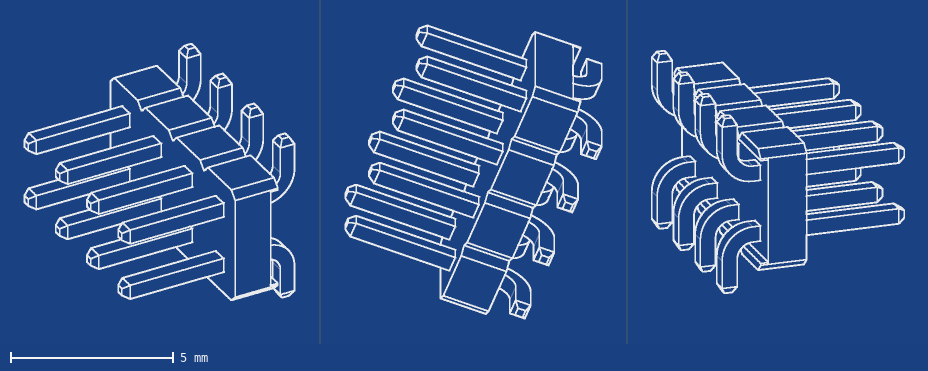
import cadquery as cq

columns = 4
pitch = 2.0
row_directions = (1, -1)

housing_width = columns * pitch
housing_height = 2 * pitch
housing_depth = 1.5
corner_cut = 0.25
recess_depth = 0.25
recess_lip = 0.31

pin_size = 0.5
bend_inner_radius = 0.5
bend_outer_radius = bend_inner_radius + pin_size
pin_front_length = 3.5
pin_span = 5.75
tip_length = 0.22
tip_end_size = 0.25

front_end_y = -pin_front_length
bend_start_y = housing_depth
tail_y = bend_start_y + bend_outer_radius - pin_size / 2
bend_center_radius = bend_outer_radius - pin_size / 2
column_positions = [(i - (columns - 1) / 2) * pitch for i in range(columns)]


def make_segment(center_x):
    """One pitch-wide block of the housing, its four long edges cut at 45 degrees."""
    return (
        cq.Workplane("XY")
        .box(pitch, housing_depth, housing_height)
        .edges("|Y")
        .chamfer(corner_cut)
        .translate((center_x, housing_depth / 2, 0))
    )


def make_housing(pins):
    """Joined segments with a full-width recess in the back face and a hole for each pin."""
    body = make_segment(column_positions[0])
    for center_x in column_positions[1:]:
        body = body.union(make_segment(center_x))
    body = body.clean()

    recess = cq.Workplane("XY").box(housing_width, recess_depth, housing_height - 2 * recess_lip)
    body = body.cut(recess.translate((0, housing_depth - recess_depth / 2, 0)))

    for pin in pins:
        body = body.cut(pin)
    return body.solids()


def make_tip(base_plane):
    """Square pyramid frustum that ends a pin."""
    return (
        cq.Workplane(base_plane)
        .rect(pin_size, pin_size)
        .workplane(offset=tip_length)
        .rect(tip_end_size, tip_end_size)
        .loft(ruled=True)
    )


def make_pin(center_x, direction):
    """One pin: tapered front end, straight shank, quarter bend and tapered tail along Z."""
    row_z = direction * pitch / 2
    tip_start_y = front_end_y + tip_length
    bend_end_z = row_z + direction * bend_center_radius
    tail_end_z = direction * (pin_span / 2 - tip_length)

    path = (
        cq.Workplane("YZ", origin=(center_x, 0, 0))
        .moveTo(tip_start_y, row_z)
        .lineTo(bend_start_y, row_z)
        .tangentArcPoint((tail_y, bend_end_z), relative=False)
        .lineTo(tail_y, tail_end_z)
    )
    shank = cq.Workplane("XZ", origin=(center_x, tip_start_y, row_z)).rect(pin_size, pin_size).sweep(path)

    front_plane = cq.Plane(origin=(center_x, tip_start_y, row_z), xDir=(1, 0, 0), normal=(0, -1, 0))
    tail_plane = cq.Plane(origin=(center_x, tail_y, tail_end_z), xDir=(1, 0, 0), normal=(0, 0, direction))
    front_tip = make_tip(front_plane)
    tail_tip = make_tip(tail_plane)
    return shank.union(front_tip).union(tail_tip).solids()


pins = [make_pin(center_x, direction) for direction in row_directions for center_x in column_positions]
housing = make_housing(pins)

result = cq.Compound.makeCompound([housing.val(), *[pin.val() for pin in pins]])